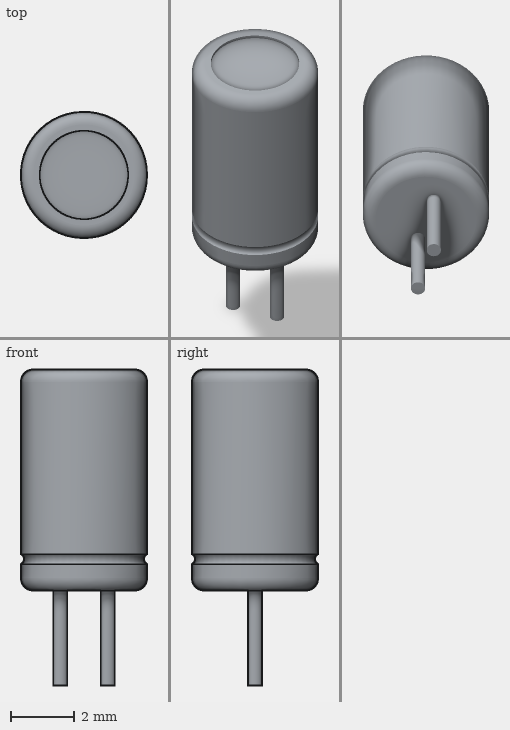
import cadquery as cq

total_height = 10.0
can_radius = 2.0
lead_length = 3.0
can_bottom = lead_length

edge_radius = 0.4

groove_center_z = 4.0
groove_width = 0.32
groove_depth = 0.1

recess_radius = 1.4
recess_depth = 0.1

lead_diameter = 0.45
lead_spacing = 1.5


def make_can():
    """Revolve the can, with rounded ends and an arc-shaped crimp groove."""
    groove_bottom = groove_center_z - groove_width / 2
    groove_top = groove_center_z + groove_width / 2
    profile = (
        cq.Workplane("XZ")
        .moveTo(0, can_bottom)
        .lineTo(can_radius - edge_radius, can_bottom)
        .radiusArc((can_radius, can_bottom + edge_radius), -edge_radius)
        .lineTo(can_radius, groove_bottom)
        .threePointArc(
            (can_radius - groove_depth, groove_center_z),
            (can_radius, groove_top),
        )
        .lineTo(can_radius, total_height - edge_radius)
        .radiusArc((can_radius - edge_radius, total_height), -edge_radius)
        .lineTo(0, total_height)
        .close()
    )
    return profile.revolve(360, (0, 0, 0), (0, 1, 0))


def make_top_recess():
    """Disc to cut from the top face."""
    return (
        cq.Workplane("XY")
        .workplane(offset=total_height - recess_depth)
        .circle(recess_radius)
        .extrude(recess_depth)
    )


def make_leads():
    """Two straight round leads from the can's underside down to Z = 0."""
    return (
        cq.Workplane("XY")
        .pushPoints([(-lead_spacing / 2, 0), (lead_spacing / 2, 0)])
        .circle(lead_diameter / 2)
        .extrude(lead_length)
    )


result = make_can().cut(make_top_recess()).union(make_leads())